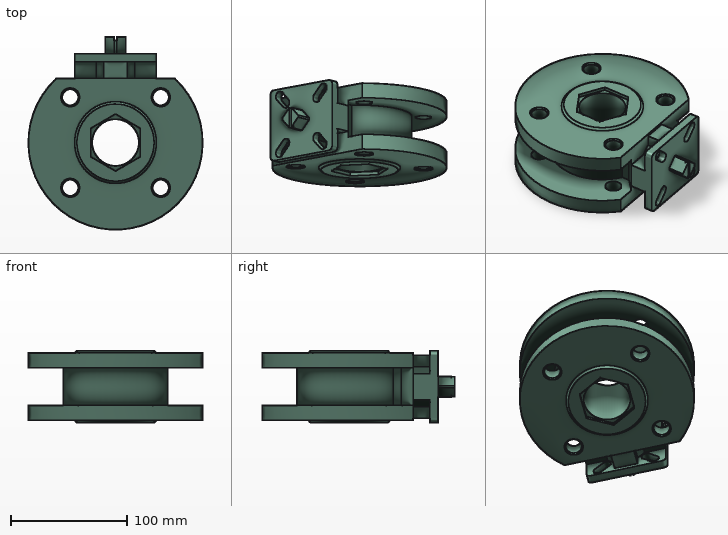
import cadquery as cq
import math

flange_radius = 75.0
flange_thickness = 13.0
half_height = 31.0
raised_face_height = 2.0
raised_face_radius = 35.1
body_radius = 45.0
bore_diameter = 40.0
hex_across_flats = 42.5
hex_depth = 3.0
flange_flat_y = 55.0

flange_outer_z = half_height - raised_face_height
flange_inner_z = flange_outer_z - flange_thickness

bolt_diameter = 13.8
bolt_countersink = 1.2
bolt_spacing = 77.8

shoulder_half_width = 24.2
shoulder_flare_start_y = 45.0
plate_width = 70.3
plate_near_y = 69.3
plate_thickness = 7.1
plate_corner_radius = 4.0
neck_hub_diameter = 40.0
neck_wide_bar_height = 22.5
neck_tall_bar_width = 20.2
neck_tall_bar_height = 54.2
slot_inner_radius = 25.0
slot_outer_radius = 35.0
slot_width = 8.3

plate_far_y = plate_near_y + plate_thickness

stem_end_y = 90.9
stem_across_flats = 14.0
stem_diameter = 17.9
stem_groove_width = 2.5
stem_groove_depth = 3.0


def along_y(start_y):
    """Sketch plane at the given Y, extruding toward +Y."""
    return cq.Workplane(cq.Plane((0, start_y, 0), xDir=(-1, 0, 0), normal=(0, 1, 0)))


def flange():
    """Upper flange with its raised face, flat and countersunk bolt holes."""
    disc = cq.Workplane("XY").workplane(offset=flange_inner_z).circle(flange_radius).extrude(flange_thickness)
    beyond_flat = (
        cq.Workplane("XY")
        .box(2 * flange_radius, flange_radius, half_height, centered=(True, False, False))
        .translate((0, flange_flat_y, 0))
    )
    disc = (
        disc.cut(beyond_flat)
        .faces(">Z")
        .workplane(origin=(0, 0, flange_outer_z))
        .rect(bolt_spacing, bolt_spacing, forConstruction=True)
        .vertices()
        .cskHole(bolt_diameter, bolt_diameter + 2 * bolt_countersink, 90)
    )
    raised_face = (
        cq.Workplane("XY")
        .workplane(offset=flange_outer_z)
        .circle(raised_face_radius)
        .workplane(offset=raised_face_height)
        .circle(raised_face_radius - raised_face_height)
        .loft(ruled=True)
    )
    return disc.union(raised_face)


def shoulder():
    """Block between the flanges, flaring out to the plate width at the flange flat."""
    half_plate = plate_width / 2
    return (
        cq.Workplane("XY")
        .workplane(offset=-flange_inner_z)
        .moveTo(-shoulder_half_width, 0)
        .lineTo(shoulder_half_width, 0)
        .lineTo(shoulder_half_width, shoulder_flare_start_y)
        .lineTo(half_plate, flange_flat_y)
        .lineTo(-half_plate, flange_flat_y)
        .lineTo(-shoulder_half_width, shoulder_flare_start_y)
        .close()
        .extrude(2 * flange_inner_z)
    )


def neck():
    """Cross-shaped neck with a round hub, from the flange flat to the plate."""
    length = plate_near_y - flange_flat_y
    wide_bar = along_y(flange_flat_y).rect(plate_width, neck_wide_bar_height).extrude(length)
    tall_bar = along_y(flange_flat_y).rect(neck_tall_bar_width, neck_tall_bar_height).extrude(length)
    hub = along_y(flange_flat_y).circle(neck_hub_diameter / 2).extrude(length)
    return wide_bar.union(tall_bar).union(hub)


def mounting_plate():
    """Rounded plate with one diagonal slot toward each corner."""
    plate = (
        along_y(plate_near_y)
        .rect(plate_width, 2 * half_height)
        .extrude(plate_thickness)
        .edges("|Y")
        .fillet(plate_corner_radius)
    )
    slot_length = slot_outer_radius - slot_inner_radius + slot_width
    slots = (
        along_y(plate_near_y)
        .polarArray((slot_inner_radius + slot_outer_radius) / 2, 45, 360, 4)
        .slot2D(slot_length, slot_width)
        .extrude(plate_thickness)
    )
    return plate.cut(slots)


def stem():
    """Square stem set on its corner, corners turned round, grooved across its end."""
    length = stem_end_y - plate_far_y
    square = (
        along_y(plate_far_y)
        .transformed(rotate=(0, 0, 45))
        .rect(stem_across_flats, stem_across_flats)
        .extrude(length)
    )
    round_bar = along_y(plate_far_y).circle(stem_diameter / 2).extrude(length)
    groove = (
        along_y(stem_end_y - stem_groove_depth)
        .rect(stem_groove_width, stem_diameter)
        .extrude(stem_groove_depth)
    )
    return square.intersect(round_bar).cut(groove)


def bore():
    """Through bore with a shallow hexagonal recess in each raised face."""
    hex_circumscribed_diameter = hex_across_flats / math.cos(math.pi / 6)
    hexagon = (
        cq.Workplane("XY")
        .workplane(offset=half_height - hex_depth)
        .transformed(rotate=(0, 0, 90))
        .polygon(6, hex_circumscribed_diameter)
        .extrude(hex_depth)
    )
    hole = cq.Workplane("XY").circle(bore_diameter / 2).extrude(half_height, both=True)
    return hole.union(hexagon).union(hexagon.mirror("XY"))


body = cq.Workplane("XY").circle(body_radius).extrude(flange_inner_z, both=True)
upper_flange = flange()
result = body.union(upper_flange).union(upper_flange.mirror("XY"))
for feature in (shoulder(), neck(), mounting_plate(), stem()):
    result = result.union(feature)
result = result.cut(bore())